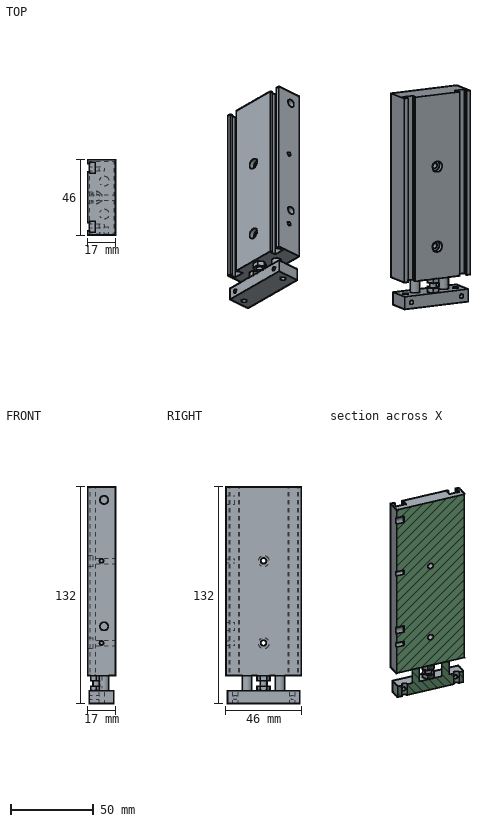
import cadquery as cq
import math

HOUSING_X = 17.0
HOUSING_Y = 46.0
TOTAL_Z = 132.0
PLATE_X = 15.0
PLATE_Y = 44.2
PLATE_Z = 7.9
GAP_Z = 9.1
HOUSING_BOTTOM = PLATE_Z + GAP_Z
HOUSING_Z = TOTAL_Z - HOUSING_BOTTOM
MID_X = HOUSING_X / 2

SLOT_OFFSET_Y = 18.0
SLOT_MOUTH = 5.0
SLOT_WIDTH = 6.6
SLOT_LIP = 1.5
SLOT_DEPTH = 4.6

MOUNT_Z = 37.0
MOUNT_PITCH = 50.0
MOUNT_LEVELS = (MOUNT_Z, MOUNT_Z + MOUNT_PITCH)
MOUNT_DIA = 3.3
COUNTERBORE_DIA = 6.6
COUNTERBORE_DEPTH = 3.3
SIDE_HOLE_DIA = 2.5
SIDE_HOLE_DEPTH = 5.0
PORT_LEVELS = (47.1, 124.1)
PORT_DIA = 5.0
PORT_DEPTH = 5.0

ROD_DIA = 6.0
ROD_X = 10.0
ROD_OFFSET_Y = 10.0
PLATE_HOLE_OFFSET_Y = 17.4
PLATE_HOLE_DIA = 3.4
CROSS_HOLE_DIA = 2.5

BOLT_X = 5.3
BOLT_DIA = 4.2
HEX_FLATS = 7.0
HEX_CORNERS = HEX_FLATS / math.cos(math.pi / 6)
UPPER_HEX_Z = 3.2
LOWER_HEX_Z = 2.8
HEX_CHAMFER_ANGLE = math.radians(30)


def cylinder_between(dia, start, direction, length):
    """Cylinder from a start point along a direction."""
    return cq.Workplane(cq.Solid.makeCylinder(dia / 2, length, cq.Vector(*start), cq.Vector(*direction)))


def t_slot(y):
    """Full-height T-slot cutter, open through the -X face."""
    mouth = cq.Workplane().box(SLOT_DEPTH, SLOT_MOUTH, HOUSING_Z, centered=(False, True, False))
    cavity = cq.Workplane().box(SLOT_DEPTH - SLOT_LIP, SLOT_WIDTH, HOUSING_Z, centered=(False, True, False))
    cutter = mouth.union(cavity.translate((SLOT_LIP, 0, 0)))
    return cutter.translate((0, y, HOUSING_BOTTOM))


def make_housing():
    """Block with two T-slots, counterbored mounting holes, side holes and ports."""
    body = cq.Workplane().box(HOUSING_X, HOUSING_Y, HOUSING_Z, centered=(False, True, False))
    body = body.translate((0, 0, HOUSING_BOTTOM))
    for side in (-1, 1):
        body = body.cut(t_slot(side * SLOT_OFFSET_Y))
    for z in MOUNT_LEVELS:
        body = body.cut(cylinder_between(MOUNT_DIA, (0, 0, z), (1, 0, 0), HOUSING_X))
        body = body.cut(cylinder_between(COUNTERBORE_DIA, (0, 0, z), (1, 0, 0), COUNTERBORE_DEPTH))
        side_start = (MID_X, -HOUSING_Y / 2, z)
        body = body.cut(cylinder_between(SIDE_HOLE_DIA, side_start, (0, 1, 0), SIDE_HOLE_DEPTH))
    for z in PORT_LEVELS:
        port_start = (ROD_X, -HOUSING_Y / 2, z)
        body = body.cut(cylinder_between(PORT_DIA, port_start, (0, 1, 0), PORT_DEPTH))
    return body


def make_slider():
    """End plate with two guide rods, vertical end holes and cross holes that meet them."""
    body = cq.Workplane().box(PLATE_X, PLATE_Y, PLATE_Z, centered=(True, True, False))
    body = body.translate((MID_X, 0, 0))
    plate_face_x = MID_X - PLATE_X / 2
    for side in (-1, 1):
        body = body.union(cylinder_between(ROD_DIA, (ROD_X, side * ROD_OFFSET_Y, PLATE_Z), (0, 0, 1), GAP_Z))
        hole_y = side * PLATE_HOLE_OFFSET_Y
        body = body.cut(cylinder_between(PLATE_HOLE_DIA, (MID_X, hole_y, 0), (0, 0, 1), PLATE_Z))
        cross_start = (plate_face_x, hole_y, PLATE_Z / 2)
        body = body.cut(cylinder_between(CROSS_HOLE_DIA, cross_start, (1, 0, 0), PLATE_X / 2))
    return body


def hex_section(z, height):
    """Hexagonal prism with its corners pointing along Y."""
    prism = cq.Workplane().polygon(6, HEX_CORNERS).extrude(height)
    return prism.rotate((0, 0, 0), (0, 0, 1), 90).translate((BOLT_X, 0, z))


def corner_chamfer():
    """Cone that trims the hexagon's corners at its lower end and leaves the flats whole."""
    flat_radius = HEX_FLATS / 2
    top_radius = flat_radius + LOWER_HEX_Z / math.tan(HEX_CHAMFER_ANGLE)
    base = cq.Vector(BOLT_X, 0, PLATE_Z)
    return cq.Workplane(cq.Solid.makeCone(flat_radius, top_radius, LOWER_HEX_Z, base))


def make_bolt():
    """Stop bolt filling the gap between plate and housing."""
    shank = cylinder_between(BOLT_DIA, (BOLT_X, 0, PLATE_Z), (0, 0, 1), GAP_Z)
    lower = hex_section(PLATE_Z, LOWER_HEX_Z).intersect(corner_chamfer())
    upper = hex_section(HOUSING_BOTTOM - UPPER_HEX_Z, UPPER_HEX_Z)
    return shank.union(lower).union(upper)


housing = make_housing()
slider = make_slider()
bolt = make_bolt()

result = cq.Compound.makeCompound([housing.val(), slider.val(), bolt.val()])